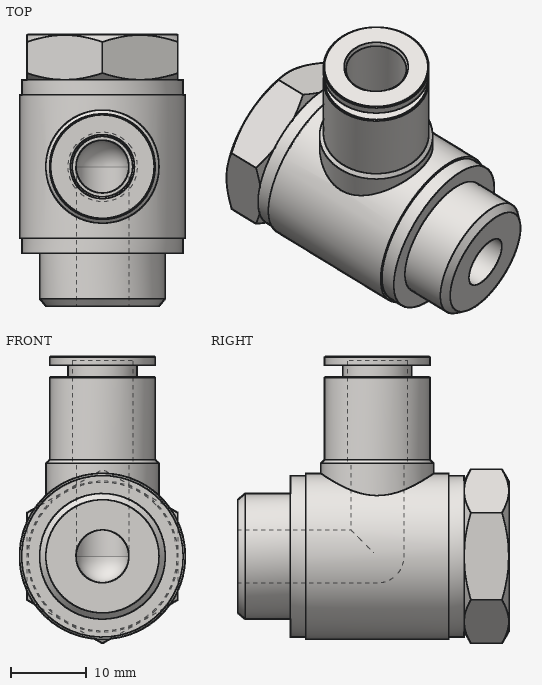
import cadquery as cq
import math


body_dia = 22.0
body_half_length = 9.5
collar_dia = 21.4
collar_thickness = 2.0
collar_end = body_half_length + collar_thickness

stud_dia = 16.66
stud_tip_dia = 15.0
stud_length = 7.0
stud_chamfer_length = 1.0
stud_end = collar_end + stud_length

hex_across_flats = 20.0
hex_across_corners = hex_across_flats / math.cos(math.radians(30))
hex_thickness = 6.0
hex_outer_chamfer_dia = 19.7
hex_inner_chamfer_dia = hex_across_flats
hex_chamfer_angle = 30.0
hex_end = collar_end + hex_thickness

boss_dia = 15.0
boss_shoulder_height = 12.3
sleeve_dia = 14.0
sleeve_start_height = boss_shoulder_height + (boss_dia - sleeve_dia) / 2
sleeve_top_height = 23.8
neck_dia = 9.2
ring_thickness = 1.2
ring_top_height = 26.5
ring_bottom_height = ring_top_height - ring_thickness
edge_break = 0.15

flow_bore_dia = 7.0
tube_bore_dia = 8.0
tube_bore_mouth_dia = 8.5
tube_bore_chamfer_depth = 0.5
tube_bore_bottom_height = boss_shoulder_height


def cylinder_along_y(diameter, y_start, y_end):
    """Cylinder on the main axis between two Y positions."""
    plane = cq.Workplane("XZ", origin=(0, y_end, 0))
    return plane.circle(diameter / 2).extrude(y_end - y_start)


def cylinder_along_z(diameter, z_start, z_end):
    """Cylinder on the port axis between two heights."""
    plane = cq.Workplane("XY", origin=(0, 0, z_start))
    return plane.circle(diameter / 2).extrude(z_end - z_start)


def make_body():
    """Central barrel with a slightly smaller collar at each end."""
    barrel = cylinder_along_y(body_dia, -body_half_length, body_half_length)
    collars = cylinder_along_y(collar_dia, -collar_end, collar_end)
    return barrel.union(collars)


def make_stud():
    """Stud with a chamfered tip, turned about the Y axis."""
    profile = (
        cq.Workplane("XY")
        .moveTo(0, 0)
        .lineTo(stud_dia / 2, 0)
        .lineTo(stud_dia / 2, -stud_end + stud_chamfer_length)
        .lineTo(stud_tip_dia / 2, -stud_end)
        .lineTo(0, -stud_end)
        .close()
    )
    return profile.revolve(360, (0, 0, 0), (0, 1, 0))


def make_hex_head():
    """Hexagon with corners up and down, its corners turned off at both ends."""
    prism = (
        cq.Workplane("XZ", origin=(0, hex_end, 0))
        .transformed(rotate=(0, 0, 90))
        .polygon(6, hex_across_corners)
        .extrude(hex_thickness)
    )
    corner_radius = hex_across_corners / 2
    inner_radius = hex_inner_chamfer_dia / 2
    outer_radius = hex_outer_chamfer_dia / 2
    chamfer_slope = math.tan(math.radians(hex_chamfer_angle))
    inner_chamfer_length = (corner_radius - inner_radius) * chamfer_slope
    outer_chamfer_length = (corner_radius - outer_radius) * chamfer_slope
    envelope = (
        cq.Workplane("XY")
        .moveTo(0, collar_end)
        .lineTo(inner_radius, collar_end)
        .lineTo(corner_radius, collar_end + inner_chamfer_length)
        .lineTo(corner_radius, hex_end - outer_chamfer_length)
        .lineTo(outer_radius, hex_end)
        .lineTo(0, hex_end)
        .close()
        .revolve(360, (0, 0, 0), (0, 1, 0))
    )
    return prism.intersect(envelope)


def make_port():
    """Boss, sleeve, neck and release ring turned about the Z axis."""
    boss_radius = boss_dia / 2
    sleeve_radius = sleeve_dia / 2
    neck_radius = neck_dia / 2
    profile = (
        cq.Workplane("XZ")
        .moveTo(0, 0)
        .lineTo(boss_radius, 0)
        .lineTo(boss_radius, boss_shoulder_height)
        .lineTo(sleeve_radius, sleeve_start_height)
        .lineTo(sleeve_radius, sleeve_top_height - edge_break)
        .lineTo(sleeve_radius - edge_break, sleeve_top_height)
        .lineTo(neck_radius, sleeve_top_height)
        .lineTo(neck_radius, ring_bottom_height)
        .lineTo(sleeve_radius, ring_bottom_height)
        .lineTo(sleeve_radius, ring_top_height - edge_break)
        .lineTo(sleeve_radius - edge_break, ring_top_height)
        .lineTo(0, ring_top_height)
        .close()
    )
    return profile.revolve(360, (0, 0, 0), (0, 1, 0))


def make_tube_bore():
    """Tube socket with a flared mouth, turned about the Z axis."""
    bore_radius = tube_bore_dia / 2
    profile = (
        cq.Workplane("XZ")
        .moveTo(0, tube_bore_bottom_height)
        .lineTo(bore_radius, tube_bore_bottom_height)
        .lineTo(bore_radius, ring_top_height - tube_bore_chamfer_depth)
        .lineTo(tube_bore_mouth_dia / 2, ring_top_height)
        .lineTo(0, ring_top_height)
        .close()
    )
    return profile.revolve(360, (0, 0, 0), (0, 1, 0))


def cut_bores(part):
    """Flow bores meeting in a spherical elbow at the origin, and the tube socket."""
    stud_bore = cylinder_along_y(flow_bore_dia, -stud_end, 0)
    port_bore = cylinder_along_z(flow_bore_dia, 0, ring_top_height)
    elbow = cq.Workplane("XY").sphere(flow_bore_dia / 2)
    return part.cut(stud_bore).cut(port_bore).cut(elbow).cut(make_tube_bore())


solid_fitting = make_body().union(make_stud()).union(make_hex_head()).union(make_port())
result = cut_bores(solid_fitting)